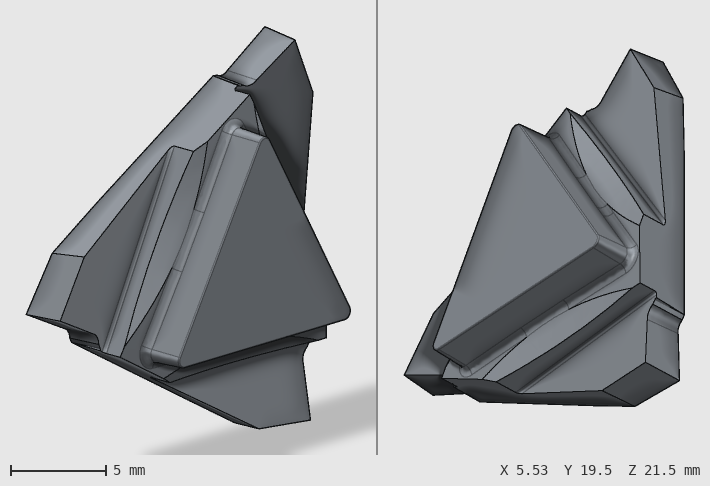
import cadquery as cq
import math

CORNERS = 3

edge_distance = 7.1
land_height = 3.4
land_slope = 0.03
relief_angle = 4
outer_radius = 17.22

shoulder = (edge_distance, 7.97)
tip = (5.58, 11.15)
notch_start = (2.86, 9.3)
notch_mid = (2.45, 9.13)
notch_end = (2.09, 9.21)
notch_exit_y = 1.79

facet_angle = 39.3
facet_distance = 8.1
facet_tilt = 2.1

wall_angle = 30
wall_distance = 5.65
floor_height = 1.31
floor_slope_y = 0.061
floor_slope_z = 0.098
floor_fillet = 0.17

scoop_radius = 49.52
scoop_height = 2.67
scoop_tilt = 25

boss_distance = 4.05
boss_corner_radius = 0.55
boss_top = 5.53
boss_foot = 3.2
boss_taper = 3
boss_foot_fillet = 0.43
boss_rim_fillet = 0.06


def around_axis(shape):
    """The three copies of a shape, one for each corner."""
    return [shape.rotate((0, 0, 0), (1, 0, 0), 360 / CORNERS * i) for i in range(CORNERS)]


def cut_corners(body, tool):
    for copy in around_axis(tool):
        body = body.cut(copy)
    return body


def triangle(distance, angle):
    """Equilateral triangle on YZ with one flat at this distance and direction from the axis."""
    points = []
    for i in range(CORNERS):
        direction = math.radians(angle + 180 / CORNERS + 360 / CORNERS * i)
        points.append((2 * distance * math.cos(direction), 2 * distance * math.sin(direction)))
    return cq.Workplane("YZ").polyline(points).close()


def make_plate():
    plate = triangle(edge_distance, 0).extrude(land_height)
    land = (
        cq.Workplane("XY")
        .polyline([(0, 0), (land_height, 0), (land_height - land_slope * outer_radius, outer_radius),
                   (0, outer_radius)])
        .close()
        .revolve(360, (0, 0, 0), (1, 0, 0))
    )
    return plate.intersect(land)


def make_end_cutter():
    """Removes the stock beyond the end face of a tip, leaning inward with height."""
    along = (tip[0] - shoulder[0], tip[1] - shoulder[1])
    start = (shoulder[0] - along[0], shoulder[1] - along[1])
    end = (tip[0] + along[0], tip[1] + along[1])
    return (
        cq.Workplane("YZ")
        .polyline([start, end, (outer_radius, outer_radius)])
        .close()
        .extrude(land_height, taper=-relief_angle)
    )


def make_notch_cutter():
    """Removes the stock between a tip and the next long side, widening with height."""
    side_angle = math.radians(360 / CORNERS)
    exit_z = (edge_distance - notch_exit_y * math.cos(side_angle)) / math.sin(side_angle)
    reach = 2
    beyond_tip = (
        tip[0] + reach * (tip[0] - notch_start[0]),
        tip[1] + reach * (tip[1] - notch_start[1]),
    )
    return (
        cq.Workplane("YZ")
        .moveTo(*beyond_tip)
        .lineTo(*notch_start)
        .threePointArc(notch_mid, notch_end)
        .lineTo(notch_exit_y, exit_z)
        .lineTo(notch_exit_y, outer_radius)
        .close()
        .extrude(land_height, taper=-relief_angle)
    )


def make_facet_cutter():
    return (
        cq.Workplane("XY")
        .box(outer_radius, outer_radius, 2 * outer_radius)
        .translate((-outer_radius / 2, outer_radius / 2, 0))
        .rotate((0, 0, 0), (0, 0, 1), -facet_tilt)
        .translate((0, facet_distance, 0))
        .rotate((0, 0, 0), (1, 0, 0), facet_angle)
    )


def make_outside_wall():
    """Everything on the outer side of a pocket wall."""
    return (
        cq.Workplane("XY")
        .box(outer_radius, outer_radius, 2 * outer_radius)
        .translate((0, wall_distance + outer_radius / 2, 0))
        .rotate((0, 0, 0), (1, 0, 0), wall_angle)
    )


def make_pocket_cutter():
    """Stock above a tilted floor and outside an upright wall."""
    wall = math.radians(wall_angle)
    wall_end_z = (wall_distance - edge_distance * math.cos(wall)) / math.sin(wall)
    floor = cq.Plane(
        origin=(floor_height, edge_distance, wall_end_z),
        xDir=(floor_slope_y, 1, 0),
        normal=(1, -floor_slope_y, -floor_slope_z),
    )
    above_floor = cq.Workplane(floor).rect(3 * outer_radius, 3 * outer_radius).extrude(outer_radius)
    pocket = above_floor.intersect(make_outside_wall())
    inner_foot = cq.selectors.NearestToPointSelector(
        (floor_height, wall_distance * math.cos(wall), wall_distance * math.sin(wall))
    )
    return pocket.edges(inner_foot).fillet(floor_fillet)


def make_scoop_cutter():
    """Large cylinder lying across the wall, rising towards the boss and ending at the wall."""
    cylinder = (
        cq.Workplane("XZ")
        .center(scoop_radius, 0)
        .circle(scoop_radius)
        .extrude(outer_radius, both=True)
        .rotate((0, 0, 0), (0, 0, 1), scoop_tilt)
        .translate((scoop_height, wall_distance, 0))
        .rotate((0, 0, 0), (1, 0, 0), wall_angle)
    )
    return cylinder.cut(make_outside_wall())


def make_boss():
    """Tapered triangle with rounded corners, sunk into the plate below its foot."""
    sunk = boss_foot / 2
    slope = math.tan(math.radians(boss_taper))
    foot_growth = (boss_foot - sunk) * slope
    core_distance = boss_distance - boss_corner_radius
    return (
        triangle(core_distance, wall_angle)
        .offset2D(boss_corner_radius + foot_growth)
        .extrude(boss_top - sunk, taper=boss_taper)
        .translate((sunk, 0, 0))
    )



plate = make_plate()
for cutter in (make_end_cutter(), make_notch_cutter(), make_facet_cutter(), make_scoop_cutter(),
               make_pocket_cutter()):
    plate = cut_corners(plate, cutter)

result = plate.union(make_boss())
foot_edge = cq.selectors.NearestToPointSelector((boss_foot, 0, -boss_distance))
result = result.edges(foot_edge).fillet(boss_foot_fillet)
result = result.faces(">X").edges().fillet(boss_rim_fillet)